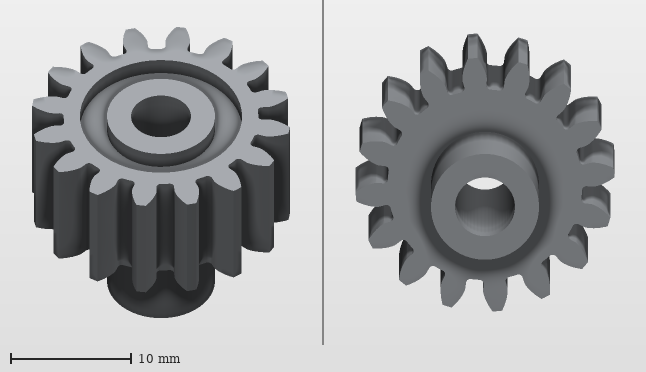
import cadquery as cq
import math

overall_width = 21.33
overall_height = 19.0

tooth_count = 16
pressure_angle = math.radians(20)
gear_height = 10.0
addendum_factor = 1.0
dedendum_factor = 1.25
root_fillet_factor = 0.3

hub_diameter = 9.0
bore_diameter = 5.0
recess_diameter = 13.5
recess_depth = 1.5

cutter_overshoot = 0.25
flank_points = 7


def involute(angle):
    """Involute function: polar angle swept from the base circle at a given pressure angle."""
    return math.tan(angle) - angle


tooth_pitch_angle = 2 * math.pi / tooth_count
half_space_at_pitch = tooth_pitch_angle / 4
tip_pressure_angle = math.acos(
    tooth_count * math.cos(pressure_angle) / (tooth_count + 2 * addendum_factor)
)
half_space_at_base = half_space_at_pitch - involute(pressure_angle)
half_space_at_tip = half_space_at_base + involute(tip_pressure_angle)

tip_radius = overall_width / 2 / math.cos(half_space_at_tip)
module = 2 * tip_radius / (tooth_count + 2 * addendum_factor)
pitch_radius = module * tooth_count / 2
base_radius = pitch_radius * math.cos(pressure_angle)
root_radius = pitch_radius - dedendum_factor * module
root_fillet = root_fillet_factor * module
cutter_radius = tip_radius + cutter_overshoot * module


def polar(radius, angle):
    return (radius * math.cos(angle), radius * math.sin(angle))


def flank():
    """Points of the upper flank of the space on +X, from the root circle outward."""
    end_angle = math.acos(base_radius / cutter_radius)
    points = [polar(root_radius, half_space_at_base)]
    for i in range(flank_points):
        local_angle = end_angle * i / (flank_points - 1)
        radius = base_radius / math.cos(local_angle)
        angle = half_space_at_base + involute(local_angle)
        points.append(polar(radius, angle))
    return points


def tooth_space():
    """Cutter for the tooth space on +X: near-radial below the base circle, involute above."""
    upper = flank()
    lower = [(x, -y) for x, y in reversed(upper)]
    cutter = (
        cq.Workplane("XY")
        .moveTo(*upper[0])
        .spline(upper[1:], includeCurrent=True)
        .threePointArc((cutter_radius, 0), lower[0])
        .spline(lower[1:], includeCurrent=True)
        .threePointArc((root_radius, 0), upper[0])
        .close()
        .extrude(gear_height)
    )
    return cutter.edges("|Z").edges("<X").fillet(root_fillet)


def gear():
    body = cq.Workplane("XY").circle(tip_radius).extrude(gear_height)
    space = tooth_space()
    for i in range(tooth_count):
        turn = math.degrees(i * tooth_pitch_angle)
        body = body.cut(space.rotate((0, 0, 0), (0, 0, 1), turn))
    return body


def recess():
    """Ring pocket that leaves the hub standing flush with the top face."""
    return (
        cq.Workplane("XY")
        .workplane(offset=gear_height - recess_depth)
        .circle(recess_diameter / 2)
        .circle(hub_diameter / 2)
        .extrude(recess_depth)
    )


hub_length = overall_height - gear_height
hub = cq.Workplane("XY").circle(hub_diameter / 2).extrude(-hub_length)
bore = (
    cq.Workplane("XY")
    .workplane(offset=-hub_length)
    .circle(bore_diameter / 2)
    .extrude(overall_height)
)

result = gear().cut(recess()).union(hub).cut(bore)